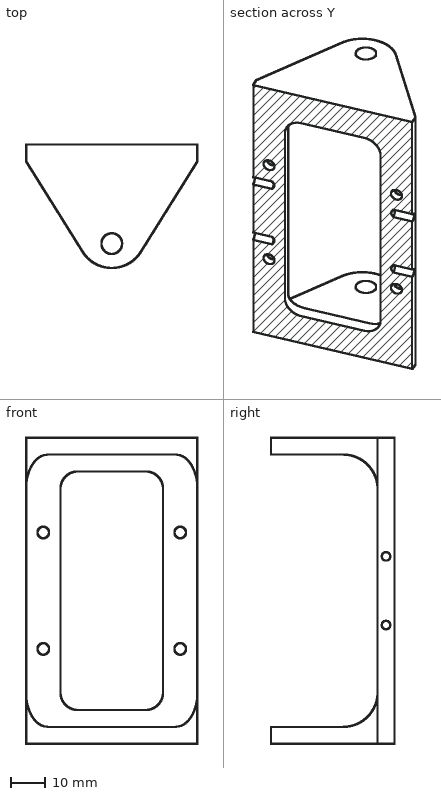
import cadquery as cq
import math

width = 50.0
depth = 36.2
height = 89.5
wall = 5.0

tip_radius = 10.0
bend_radius = 9.9
pivot_diameter = 6.0
pivot_distance = 29.0

window_width = 29.9
window_height = 69.6
window_corner_radius = 5.0

plate_hole_diameter = 3.3
plate_hole_spacing_x = 40.0
plate_hole_spacing_z = 34.0
side_hole_diameter = 2.5
side_hole_spacing = 20.05
side_hole_depth = 6.0
drill_point_angle = 118


def lug_outline():
    """Plan outline: a straight back band tapering tangentially into a round tip."""
    half_width = width / 2
    center_y = tip_radius - depth
    rise = -wall - center_y
    reach = math.hypot(half_width, rise)
    angle = math.atan2(rise, half_width) - math.acos(tip_radius / reach)
    tangent_x = tip_radius * math.cos(angle)
    tangent_y = center_y + tip_radius * math.sin(angle)
    return (
        cq.Workplane("XY")
        .moveTo(-half_width, 0)
        .lineTo(half_width, 0)
        .lineTo(half_width, -wall)
        .lineTo(tangent_x, tangent_y)
        .threePointArc((0, -depth), (-tangent_x, tangent_y))
        .lineTo(-half_width, -wall)
        .close()
    )


def space_between_lugs():
    """Open space in front of the back plate, rounded where it meets both lugs."""
    return (
        cq.Workplane("XY")
        .box(width, depth, height - 2 * wall)
        .edges("|X and >Y")
        .fillet(bend_radius)
        .translate((0, -wall - depth / 2, 0))
    )


def window():
    return (
        cq.Workplane("XY")
        .box(window_width, 2 * depth, window_height)
        .edges("|Y")
        .fillet(window_corner_radius)
    )


def plate_holes():
    return (
        cq.Workplane("XZ")
        .rarray(plate_hole_spacing_x, plate_hole_spacing_z, 2, 2)
        .circle(plate_hole_diameter / 2)
        .extrude(depth, both=True)
    )


def side_hole():
    """Blind drilled hole with a conical bottom, entering the -X side at mid-height."""
    radius = side_hole_diameter / 2
    point_length = radius / math.tan(math.radians(drill_point_angle / 2))
    entry_x = -width / 2
    bottom_x = entry_x + side_hole_depth
    return (
        cq.Workplane("XY")
        .moveTo(entry_x, 0)
        .lineTo(entry_x, radius)
        .lineTo(bottom_x, radius)
        .lineTo(bottom_x + point_length, 0)
        .close()
        .revolve(360, (0, 0, 0), (1, 0, 0))
        .translate((0, -wall / 2, 0))
    )


def pivot_hole():
    return (
        cq.Workplane("XY")
        .center(0, -pivot_distance)
        .circle(pivot_diameter / 2)
        .extrude(height, both=True)
    )


body = lug_outline().extrude(height / 2, both=True)
result = (
    body.cut(space_between_lugs())
    .cut(window())
    .cut(plate_holes())
    .cut(pivot_hole())
)

for z in (-side_hole_spacing / 2, side_hole_spacing / 2):
    left_hole = side_hole().translate((0, 0, z))
    result = result.cut(left_hole).cut(left_hole.mirror("YZ"))